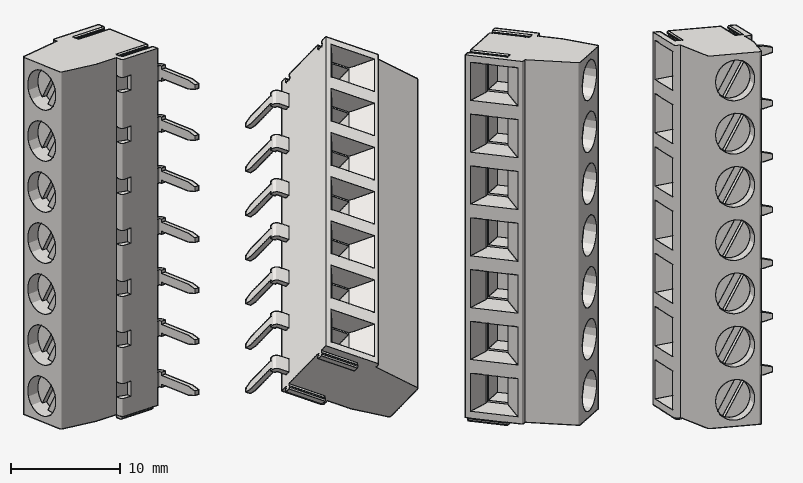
import cadquery as cq
import math

rib_height = 0.6
pole_count = 7
total_height = 35.6
body_height = total_height - rib_height
pitch = body_height / pole_count
body_width = 8.08
body_depth = 10.6

wire_ledge_y = 5
wire_ledge_width = 0.57
wire_ledge_radius = 0.2
back_ledge_y = 6.23
back_wall_x = 7.3
taper_angle = 10
taper_start_y = 3.75
corner_radius = 0.25

screw_diameter = 3.8
screw_depth = 1.25
screw_slot_width = 0.9
screw_slot_depth = 0.55
screw_slot_angle = 30

funnel_back_y = 10.07
funnel_front_y = 5.5
funnel_height = 3.65
seat_back_y = 9.1
seat_front_y = 6.85
seat_height = 2.8
funnel_depth = 1.42
seat_depth = 1.85
clamp_back_y = 9.0
clamp_front_y = 7.12
clamp_height = 2.5
clamp_depth = 4.27

notch_height = 1.45
notch_depth = 1.07
notch_floor_x = 7.65

pin_drop = 0.43
pin_thickness = 0.5
pin_left_x = 6.75
pin_tip_x = 12.05
pin_back_y = 12.1
pin_root_depth = 0.7
shank_height = 1.5
bend_inner_radius = 0.05
shank_end_x = 7.48
tail_height = 0.9
tail_tip_height = 0.45
tail_taper_length = 0.9

rib_centers = (1.1, 7.0)
rib_neck_width = 0.55
rib_head_width = 0.8
rib_neck_length = 0.2
rib_length = 3.8
rib_chamfer = 0.125


def box(x0, x1, y0, y1, z0, z1):
    return cq.Workplane("XY").box(x1 - x0, y1 - y0, z1 - z0, centered=False).translate((x0, y0, z0))


def make_body():
    slope = math.tan(math.radians(taper_angle))
    front_left_x = wire_ledge_width + wire_ledge_y * slope
    front_right_x = back_wall_x - taper_start_y * slope
    body = (
        cq.Workplane("XY")
        .polyline([
            (front_left_x, 0),
            (front_right_x, 0),
            (back_wall_x, taper_start_y),
            (back_wall_x, back_ledge_y),
            (body_width, back_ledge_y),
            (body_width, body_depth),
            (0, body_depth),
            (0, wire_ledge_y),
            (wire_ledge_width, wire_ledge_y),
        ])
        .close()
        .extrude(body_height)
    )
    rounded = [
        (front_left_x, 0, corner_radius),
        (front_right_x, 0, corner_radius),
        (body_width, back_ledge_y, corner_radius),
        (0, wire_ledge_y, wire_ledge_radius),
    ]
    for x, y, radius in rounded:
        corner = cq.selectors.NearestToPointSelector((x, y, body_height / 2))
        body = body.edges(corner).fillet(radius)
    return body


def screw_cut(z):
    recess = (
        cq.Workplane("XZ", origin=(body_width / 2, 0, z))
        .circle(screw_diameter / 2)
        .extrude(-screw_depth)
    )
    disc = (
        cq.Workplane("XZ", origin=(body_width / 2, screw_depth, z))
        .circle(screw_diameter / 2)
        .extrude(-screw_slot_depth)
    )
    bar = (
        cq.Workplane("XZ", origin=(body_width / 2, screw_depth, z))
        .transformed(rotate=(0, 0, -screw_slot_angle))
        .rect(screw_slot_width, 2 * screw_diameter)
        .extrude(-screw_slot_depth)
    )
    return recess.union(disc.intersect(bar))


def wire_cut(z):
    funnel_mid_y = (funnel_back_y + funnel_front_y) / 2
    seat_mid_y = (seat_back_y + seat_front_y) / 2
    funnel = (
        cq.Workplane("YZ", origin=(0, 0, z))
        .center(funnel_mid_y, 0)
        .rect(funnel_back_y - funnel_front_y, funnel_height)
        .workplane(offset=funnel_depth)
        .center(seat_mid_y - funnel_mid_y, 0)
        .rect(seat_back_y - seat_front_y, seat_height)
        .loft(ruled=True)
    )
    seat = (
        cq.Workplane("XY", origin=(0, 0, z - seat_height / 2))
        .polyline([
            (funnel_depth, seat_front_y),
            (seat_depth, clamp_front_y),
            (seat_depth, seat_back_y),
            (funnel_depth, seat_back_y),
        ])
        .close()
        .extrude(seat_height)
    )
    clamp = box(
        seat_depth, clamp_depth, clamp_front_y, clamp_back_y, z - clamp_height / 2, z + clamp_height / 2
    )
    return funnel.union(seat).union(clamp)


def notch_cut(z):
    return (
        cq.Workplane("XY", origin=(0, 0, z - notch_height / 2))
        .polyline([
            (back_wall_x, back_ledge_y),
            (notch_floor_x, back_ledge_y + notch_depth),
            (body_width, back_ledge_y + notch_depth),
            (body_width, back_ledge_y),
        ])
        .close()
        .extrude(notch_height)
    )


def make_pin(z):
    bend_outer_radius = bend_inner_radius + pin_thickness
    bend_end_x = pin_left_x + bend_outer_radius
    bend_start_y = pin_back_y - bend_outer_radius
    diagonal = math.cos(math.radians(45))
    shank = (
        cq.Workplane("XY", origin=(0, 0, z - shank_height / 2))
        .moveTo(pin_left_x, body_depth - pin_root_depth)
        .lineTo(pin_left_x, bend_start_y)
        .threePointArc(
            (bend_end_x - bend_outer_radius * diagonal, bend_start_y + bend_outer_radius * diagonal),
            (bend_end_x, pin_back_y),
        )
        .lineTo(shank_end_x, pin_back_y)
        .lineTo(shank_end_x, pin_back_y - pin_thickness)
        .lineTo(bend_end_x, pin_back_y - pin_thickness)
        .threePointArc(
            (bend_end_x - bend_inner_radius * diagonal, bend_start_y + bend_inner_radius * diagonal),
            (pin_left_x + pin_thickness, bend_start_y),
        )
        .lineTo(pin_left_x + pin_thickness, body_depth - pin_root_depth)
        .close()
        .extrude(shank_height)
    )
    taper_x = pin_tip_x - tail_taper_length
    tail = (
        cq.Workplane("XZ", origin=(0, pin_back_y, z))
        .polyline([
            (shank_end_x, -tail_height / 2),
            (taper_x, -tail_height / 2),
            (pin_tip_x, -tail_tip_height / 2),
            (pin_tip_x, tail_tip_height / 2),
            (taper_x, tail_height / 2),
            (shank_end_x, tail_height / 2),
        ])
        .close()
        .extrude(pin_thickness)
    )
    return shank.union(tail)


def make_rib(x, top_z):
    front_y = body_depth - rib_length
    neck = box(
        x - rib_neck_width / 2, x + rib_neck_width / 2, front_y, body_depth, top_z - rib_neck_length, top_z
    )
    head = box(
        x - rib_head_width / 2,
        x + rib_head_width / 2,
        front_y,
        body_depth,
        top_z - rib_height,
        top_z - rib_neck_length,
    ).edges("|Y").chamfer(rib_chamfer)
    return neck.union(head)


def groove_cut(x):
    front_y = body_depth - rib_length
    half_neck = rib_neck_width / 2
    half_mouth = half_neck + rib_chamfer
    mouth = (
        cq.Workplane("XZ", origin=(x, front_y, body_height))
        .polyline([
            (-half_mouth, 0),
            (half_mouth, 0),
            (half_neck, -rib_chamfer),
            (-half_neck, -rib_chamfer),
        ])
        .close()
        .extrude(-rib_length)
    )
    return make_rib(x, body_height).union(mouth)


result = make_body()
for x in rib_centers:
    result = result.cut(groove_cut(x))
    result = result.union(make_rib(x, 0))
for pole in range(pole_count):
    z = (pole + 0.5) * pitch
    result = result.cut(screw_cut(z)).cut(wire_cut(z)).cut(notch_cut(z))
    result = result.union(make_pin(z - pin_drop))